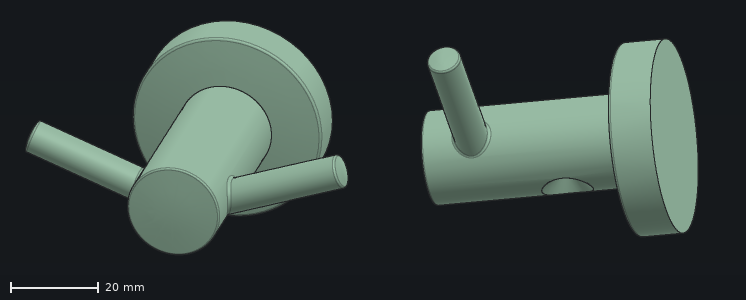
import cadquery as cq
import math

FLANGE_RADIUS = 22.5
FLANGE_RIM_DEPTH = 10.0
FLANGE_SEAT_DEPTH = 11.3
FLANGE_DOME_RADIUS = 144.8
FLANGE_EDGE_FILLET = 0.6

POST_RADIUS = 11.0
POST_REACH = 58.0
POST_DOME_HEIGHT = 0.7
POST_EDGE_FILLET = 0.45

PEG_SPAN = 76.2
PEG_RADIUS = 4.0
PEG_TILT = 20.0
PEG_WALL_DISTANCE = 45.35
PEG_AXIS_DROP = 4.0
PEG_DOME_HEIGHT = 0.7
PEG_EDGE_FILLET = 0.5
PEG_ROOT_FILLET = 0.7

RECESS_RADIUS = 6.0
RECESS_WALL_DISTANCE = 25.3

RING_TOLERANCE = 0.1


def ring_at(y):
    """Selector for the full-circle edge that is centred on the Y axis at the given Y."""
    return cq.selectors.BoxSelector(
        (-RING_TOLERANCE, y - RING_TOLERANCE, -RING_TOLERANCE),
        (RING_TOLERANCE, y + RING_TOLERANCE, RING_TOLERANCE),
    )


def sphere_radius(rim_radius, height):
    """Radius of the sphere whose cap has the given rim radius and height."""
    return (rim_radius**2 + height**2) / (2 * height)


def domed_bar(radius, length, dome_height, edge_fillet):
    """Round bar along +Y from the origin, ending in a shallow dome with a rounded edge."""
    shoulder = length - dome_height
    dome_radius = sphere_radius(radius, dome_height)
    mid_radius = radius / 2
    mid_height = length - dome_radius + math.sqrt(dome_radius**2 - mid_radius**2)
    bar = (
        cq.Workplane("XY")
        .lineTo(radius, 0)
        .lineTo(radius, shoulder)
        .threePointArc((mid_radius, mid_height), (0, length))
        .close()
        .revolve(360, (0, 0, 0), (0, 1, 0))
    )
    return bar.edges(ring_at(shoulder)).fillet(edge_fillet)


def make_flange():
    """Domed disc with its back on the wall plane Y = 0."""
    flange = (
        cq.Workplane("XY")
        .lineTo(FLANGE_RADIUS, 0)
        .lineTo(FLANGE_RADIUS, -FLANGE_RIM_DEPTH)
        .radiusArc((POST_RADIUS, -FLANGE_SEAT_DEPTH), FLANGE_DOME_RADIUS)
        .lineTo(0, -FLANGE_SEAT_DEPTH)
        .close()
        .revolve(360, (0, 0, 0), (0, 1, 0))
    )
    return flange.edges(ring_at(-FLANGE_RIM_DEPTH)).fillet(FLANGE_EDGE_FILLET)


def make_peg(side):
    """One peg; side is +1 for the +X peg and -1 for the -X peg."""
    dome_radius = sphere_radius(PEG_RADIUS, PEG_DOME_HEIGHT)
    length = dome_radius + (PEG_SPAN / 2 - dome_radius) / math.cos(math.radians(PEG_TILT))
    peg = domed_bar(PEG_RADIUS, length, PEG_DOME_HEIGHT, PEG_EDGE_FILLET)
    return (
        peg.rotate((0, 0, 0), (1, 0, 0), 90)
        .rotate((0, 0, 0), (0, 1, 0), side * (90 - PEG_TILT))
        .translate((0, -PEG_WALL_DISTANCE, -PEG_AXIS_DROP))
    )


def make_screw_recess():
    """Cone cutter opening downwards at the lowest line of the post."""
    cone = cq.Solid.makeCone(
        RECESS_RADIUS,
        0,
        RECESS_RADIUS,
        pnt=cq.Vector(0, -RECESS_WALL_DISTANCE, -POST_RADIUS),
        dir=cq.Vector(0, 0, 1),
    )
    return cq.Workplane(obj=cone)


def make_hook():
    """Post and its two pegs in one piece, standing on the flange seat."""
    post_length = POST_REACH - FLANGE_SEAT_DEPTH
    hook = (
        domed_bar(POST_RADIUS, post_length, POST_DOME_HEIGHT, POST_EDGE_FILLET)
        .rotate((0, 0, 0), (0, 0, 1), 180)
        .translate((0, -FLANGE_SEAT_DEPTH, 0))
    )
    for side in (-1, 1):
        hook = hook.union(make_peg(side))

    root_zone = cq.selectors.BoxSelector(
        (-POST_RADIUS, -PEG_WALL_DISTANCE - PEG_RADIUS, -POST_RADIUS),
        (POST_RADIUS, -PEG_WALL_DISTANCE + PEG_RADIUS, POST_RADIUS),
    )
    hook = hook.edges(root_zone).edges("not(%LINE or %CIRCLE)").fillet(PEG_ROOT_FILLET)
    return hook.cut(make_screw_recess())


flange = make_flange()
hook = make_hook()

result = cq.Compound.makeCompound([flange.val(), hook.val()])